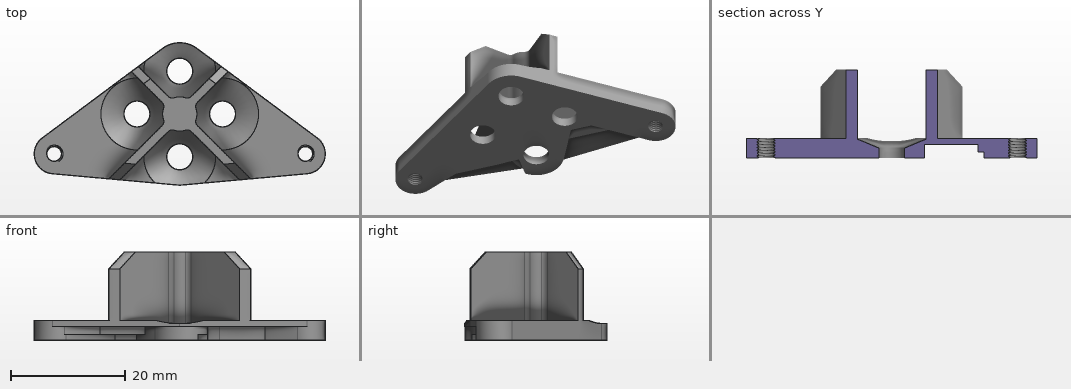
import cadquery as cq
import math

base_height = 3.5
web_thickness = 1.1
half_depth = 12.5
web_bottom = base_height - web_thickness

screw_offset = 7.5
screw_diameter = 4.5
cone_radius = 6.3
cone_bottom = 1.8
boss_radius = 5.0
front_boss_radius = 4.9

lug_x = 22.0
lug_y = -7.0
lug_radius = 3.5
thread_minor = 2.53
thread_major = 3.09
thread_pitch = 0.5
thread_start_angle = 90
groove_mouth = 0.27
groove_floor = 0.06

post_height = 15.5
rib_thickness = 1.5
rib_chamfer = 3.0
hub_radius = 3.0
hub_fillet = 1.0

step_height = 1.05
upper_left_angle = 30.5
upper_left_end = -13.95
lower_left_end = -11.34
boss_flank_angle = 63.0
right_wall_angle = 23.4
right_wall_end = 14.9
right_face_start = 6.95
right_inner_x = 5.0
right_inner_y = -7.64

notch_x = 3.2


def on_circle(center, radius, angle):
    """Point on a circle, at an angle in degrees from +X."""
    a = math.radians(angle)
    return (center[0] + radius * math.cos(a), center[1] + radius * math.sin(a))


def along(point, slope_angle, x):
    """Point at x on the line through a point with the given slope angle in degrees."""
    return (x, point[1] + (x - point[0]) * math.tan(math.radians(slope_angle)))


left_lug = (-lug_x, lug_y)
right_lug = (lug_x, lug_y)
front_boss = (0, -screw_offset)
rear_boss = (0, screw_offset)
front_corner = (0, -half_depth)

lug_to_boss = math.hypot(lug_x, screw_offset - lug_y)
rear_slope = math.degrees(
    math.atan2(screw_offset - lug_y, lug_x) + math.asin((boss_radius - lug_radius) / lug_to_boss)
)
lug_to_corner = math.hypot(lug_x, lug_y + half_depth)
front_slope = math.degrees(
    math.atan2(lug_y + half_depth, lug_x) - math.asin(lug_radius / lug_to_corner)
)

rear_left_lug = on_circle(left_lug, lug_radius, 90 + rear_slope)
rear_right_lug = on_circle(right_lug, lug_radius, 90 - rear_slope)
rear_left_boss = on_circle(rear_boss, boss_radius, 90 + rear_slope)
rear_right_boss = on_circle(rear_boss, boss_radius, 90 - rear_slope)
rear_middle = (0, screw_offset + boss_radius)
left_tip = (-lug_x - lug_radius, lug_y)
right_tip = (lug_x + lug_radius, lug_y)


def rear_outline(plane):
    """Start of an outline, from the tip of the right lug along the rear edges to the left lug."""
    return (
        plane.moveTo(*right_tip)
        .threePointArc(on_circle(right_lug, lug_radius, (90 - rear_slope) / 2), rear_right_lug)
        .lineTo(*rear_right_boss)
        .threePointArc(rear_middle, rear_left_boss)
        .lineTo(*rear_left_lug)
    )


def plate_outline():
    """Closed outline of the whole plate."""
    front_left_lug = on_circle(left_lug, lug_radius, 270 - front_slope)
    front_right_lug = on_circle(right_lug, lug_radius, 270 + front_slope)
    return (
        rear_outline(cq.Workplane("XY"))
        .threePointArc(left_tip, front_left_lug)
        .lineTo(*front_corner)
        .lineTo(*front_right_lug)
        .threePointArc(on_circle(right_lug, lug_radius, (front_slope - 90) / 2), right_tip)
        .close()
    )


flank_start = on_circle(front_boss, front_boss_radius, 270 - boss_flank_angle)


def under_block(left_angle, left_end, height, bottom):
    """One layer of the block; its left wall rises from the lug at left_angle and ends at x = left_end."""
    left_start = on_circle(left_lug, lug_radius, 270 + left_angle)
    left_corner = along(left_start, left_angle, left_end)
    flank_run = (left_corner[1] - flank_start[1]) / math.tan(math.radians(boss_flank_angle))
    flank_corner = (flank_start[0] - flank_run, left_corner[1])
    right_start = on_circle(right_lug, lug_radius, 270 - right_wall_angle)
    right_corner = along(right_start, -right_wall_angle, right_wall_end)
    return (
        rear_outline(cq.Workplane("XY").workplane(offset=bottom))
        .threePointArc(left_tip, left_start)
        .lineTo(*left_corner)
        .lineTo(*flank_corner)
        .lineTo(*flank_start)
        .lineTo(*front_boss)
        .lineTo(right_inner_x, right_inner_y)
        .lineTo(right_face_start, right_corner[1])
        .lineTo(*right_corner)
        .lineTo(*right_start)
        .threePointArc(on_circle(right_lug, lug_radius, -(90 + right_wall_angle) / 2), right_tip)
        .close()
        .extrude(height)
    )


def base():
    """Thin web carried by the two-layer block and the front boss."""
    web = plate_outline().extrude(web_thickness).translate((0, 0, web_bottom))
    upper = under_block(upper_left_angle, upper_left_end, web_bottom - step_height, step_height)
    lower = under_block(rear_slope, lower_left_end, step_height, 0)
    boss = cq.Workplane("XY").center(*front_boss).circle(front_boss_radius).extrude(web_bottom)
    notch = (
        cq.Workplane("XY")
        .rect(boss_radius - notch_x, boss_radius, centered=False)
        .extrude(step_height)
        .translate((notch_x, right_inner_y - boss_radius, 0))
    )
    return web.union(upper).union(lower).union(boss).cut(notch)


def screw_cutter():
    """Through hole with a wide cone opening at the top face."""
    hole_radius = screw_diameter / 2
    return (
        cq.Workplane("XZ")
        .moveTo(0, 0)
        .lineTo(hole_radius, 0)
        .lineTo(hole_radius, cone_bottom)
        .lineTo(cone_radius, base_height)
        .lineTo(0, base_height)
        .close()
        .revolve(360, (0, 0, 0), (0, 1, 0))
    )


def post():
    """Four diagonal ribs round a hub, trimmed and chamfered along the plate outline."""
    span = 2 * (lug_x + lug_radius)
    cross = cq.Workplane("XY").circle(hub_radius).extrude(post_height - web_bottom)
    for angle in (45, -45):
        rib = cq.Workplane("XY").rect(span, rib_thickness).extrude(post_height - web_bottom)
        cross = cross.union(rib.rotate((0, 0, 0), (0, 0, 1), angle))
    hub_edges = cq.selectors.BoxSelector(
        (-hub_radius, -hub_radius, 0), (hub_radius, hub_radius, post_height)
    )
    cross = cross.edges("|Z").edges(hub_edges).fillet(hub_fillet).translate((0, 0, web_bottom))
    envelope = plate_outline().extrude(post_height).faces(">Z").chamfer(rib_chamfer)
    return cross.intersect(envelope)


def thread_cutters():
    """Bore at the minor diameter, and a helical groove out to the major diameter."""
    minor_radius = thread_minor / 2
    depth = (thread_major - thread_minor) / 2
    flank_run = (groove_mouth - groove_floor) / 2
    inner_half = groove_floor / 2 + 2 * flank_run
    helix_height = base_height + 2 * thread_pitch
    helix = cq.Workplane(obj=cq.Wire.makeHelix(thread_pitch, helix_height, minor_radius))
    groove = (
        cq.Workplane("XZ")
        .moveTo(minor_radius - depth, -inner_half)
        .lineTo(minor_radius + depth, -groove_floor / 2)
        .lineTo(minor_radius + depth, groove_floor / 2)
        .lineTo(minor_radius - depth, inner_half)
        .close()
        .sweep(helix, isFrenet=True)
        .translate((0, 0, -thread_pitch))
        .rotate((0, 0, 0), (0, 0, 1), thread_start_angle)
    )
    bore = cq.Workplane("XY").circle(minor_radius).extrude(base_height)
    return bore, groove



body = base()
for x, y in ((screw_offset, 0), (-screw_offset, 0), front_boss, rear_boss):
    body = body.cut(screw_cutter().translate((x, y, 0)))
body = body.union(post())
bore, groove = thread_cutters()
for lug in (left_lug, right_lug):
    for cutter in (bore, groove):
        body = body.cut(cutter.translate((*lug, 0)))

result = body